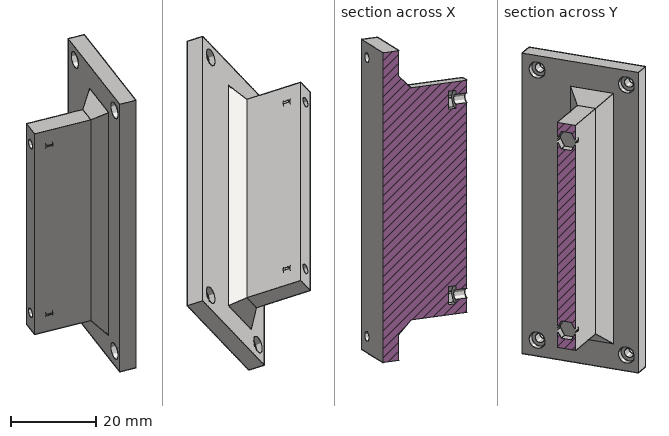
import cadquery as cq

PLATE_WIDTH = 29.97
PLATE_HEIGHT = 76.2
PLATE_THICKNESS = 4.191

SCREW_PITCH_X = 22.98
SCREW_PITCH_Z = 68.5
SCREW_CENTER_X = 0.41
SCREW_CENTER_Z = 0.2
SCREW_DIAMETER = 2.29
COUNTERBORE_DIAMETER = 4.06
COUNTERBORE_DEPTH = 1.524

OVERALL_DEPTH = 21.84
RIB_CENTER_X = 3.06
RIB_THICKNESS = 4.699
RIB_HEIGHT = 57.15
RIB_FLARE = 3.175

PIN_CENTER_X = 3.03
PIN_CENTER_Z = 0.2
PIN_PITCH_Z = 48.0
PIN_DIAMETER = 2.29
NUT_SIDES = 6
NUT_ACROSS_CORNERS = 4.97
NUT_SETBACK = 2.92
NUT_THICKNESS = 1.78
PIN_DEPTH = NUT_SETBACK + NUT_THICKNESS

PLATE_FRONT_Y = -PLATE_THICKNESS
RIB_FRONT_Y = -OVERALL_DEPTH
NUT_FRONT_Y = RIB_FRONT_Y + NUT_SETBACK


def facing_front(y):
    """Workplane at the given Y whose normal points toward -Y; local axes are X and Z."""
    return cq.Workplane("XZ", origin=(0, y, 0))


def make_plate():
    return facing_front(0).rect(PLATE_WIDTH, PLATE_HEIGHT).extrude(PLATE_THICKNESS)


def make_rib():
    rib_length = OVERALL_DEPTH - PLATE_THICKNESS
    blade = (
        facing_front(PLATE_FRONT_Y)
        .center(RIB_CENTER_X, 0)
        .rect(RIB_THICKNESS, RIB_HEIGHT)
        .extrude(rib_length)
    )
    flare = (
        facing_front(PLATE_FRONT_Y)
        .center(RIB_CENTER_X, 0)
        .rect(RIB_THICKNESS + 2 * RIB_FLARE, RIB_HEIGHT + 2 * RIB_FLARE)
        .workplane(offset=RIB_FLARE)
        .rect(RIB_THICKNESS, RIB_HEIGHT)
        .loft()
    )
    return blade.union(flare)


def cut_screw_holes(body):
    def cylinders(diameter, depth):
        return (
            facing_front(PLATE_FRONT_Y)
            .center(SCREW_CENTER_X, SCREW_CENTER_Z)
            .rect(SCREW_PITCH_X, SCREW_PITCH_Z, forConstruction=True)
            .vertices()
            .circle(diameter / 2)
            .extrude(-depth)
        )

    body = body.cut(cylinders(SCREW_DIAMETER, PLATE_THICKNESS))
    return body.cut(cylinders(COUNTERBORE_DIAMETER, COUNTERBORE_DEPTH))


def cut_pin_holes_and_nut_pockets(body):
    for side in (-1, 1):
        z = PIN_CENTER_Z + side * PIN_PITCH_Z / 2
        pin_hole = (
            facing_front(RIB_FRONT_Y)
            .center(PIN_CENTER_X, z)
            .circle(PIN_DIAMETER / 2)
            .extrude(-PIN_DEPTH)
        )
        nut_pocket = (
            facing_front(NUT_FRONT_Y)
            .center(PIN_CENTER_X, z)
            .polygon(NUT_SIDES, NUT_ACROSS_CORNERS)
            .extrude(-NUT_THICKNESS)
        )
        body = body.cut(pin_hole).cut(nut_pocket)
    return body


result = make_plate().union(make_rib())
result = cut_screw_holes(result)
result = cut_pin_holes_and_nut_pockets(result)